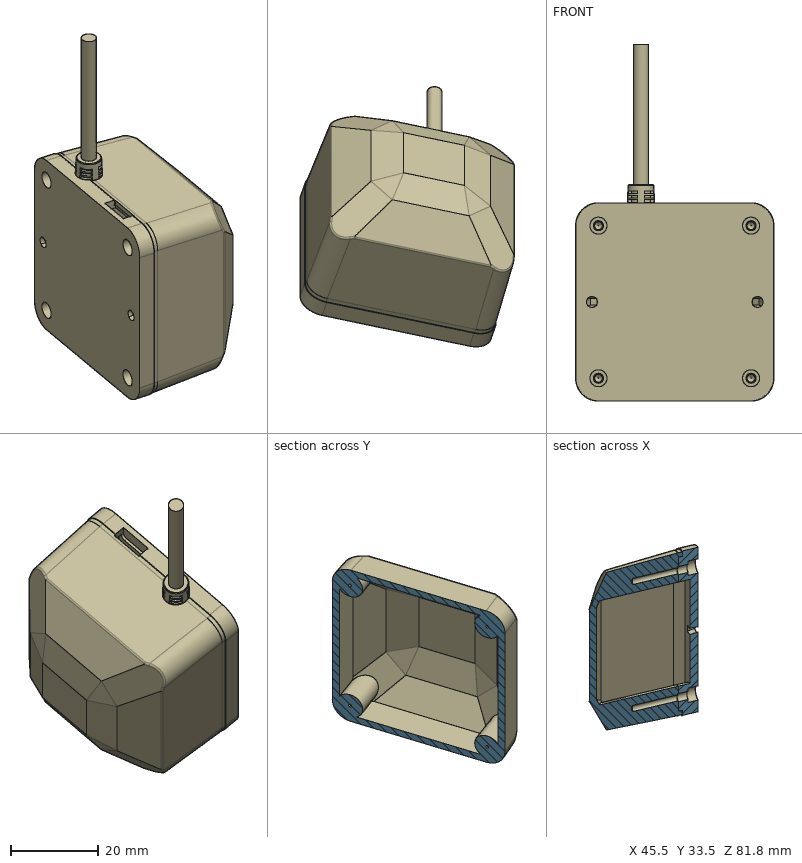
import cadquery as cq
import math

BASE_SIZE = 45.5
BASE_RADIUS = 5.25
BASE_DEPTH = 4.0
FLOOR = 2.1
WALL = 1.9
COVER_INSET = 0.25
COVER_RADIUS = 4.85
BAND_DEPTH = 1.0
RIM_INSET = 1.2
DRAFT = 2.0
TOTAL_DEPTH = 33.5

EAVES_DEPTH = 23.6
BEND_DEPTH = 30.65
FLAT_EAVES = 21.8
FLAT_BEND = 14.2
FLAT_TOP = 7.2
CORNER_EAVES = 27.0
CORNER_BEND = 16.5
CORNER_TOP = FLAT_TOP * math.sqrt(2)
EAVES_RADIUS = 0.6

SCREW_SPACING = 35.0
HEAD_DIAMETER = 3.9
HEAD_DEPTH = 2.5
CLEARANCE_DIAMETER = 2.3
PILOT_DIAMETER = 1.8
PILOT_DEPTH = 12.0
PILOT_POINT = 0.8
PILOT_TIP_RADIUS = 0.05
POST_DIAMETER = 6.5
SIDE_HOLE_X = 19.0
SIDE_HOLE_RADIUS = 1.25
WINDOW_SIZE = 1.5
WINDOW_X = 18.55

SLOT_X = 9.5
SLOT_WIDTH = 8.0
SLOT_BOTTOM = 1.4
SLOT_TOP = 4.3
SLOT_REACH = 3.5
SLOT_CORNER_RADIUS = 1.0

CABLE_X = -7.75
CABLE_Y = 5.35
CABLE_DIAMETER = 3.5
CABLE_END = 81.83 - BASE_SIZE / 2
GLAND_END = 26.95
GLAND_RADIUS = 3.15
GLAND_END_RADIUS = 2.95
GLAND_CHAMFER = 0.2
GROOVE_FIRST_TOP = 1.5
GROOVE_PITCH = 1.0
GROOVE_HEIGHT = 0.6
GROOVE_DEPTH = 0.6
GROOVE_COUNT = 3
RIB_WIDTH = 1.7

HALF = BASE_SIZE / 2
COVER_SIZE = BASE_SIZE - 2 * COVER_INSET
BAND_TOP = BASE_DEPTH + BAND_DEPTH
EAVES_BAND = 2.0
EAVES = cq.selectors.BoxSelector(
    (-BASE_SIZE, EAVES_DEPTH - EAVES_BAND, -BASE_SIZE),
    (BASE_SIZE, EAVES_DEPTH + EAVES_BAND, BASE_SIZE),
)


def at_depth(y):
    """A workplane facing +Y at the given depth."""
    return cq.Workplane(cq.Plane(origin=(0, y, 0), xDir=(1, 0, 0), normal=(0, 1, 0)))


def block(y, depth, size, radius, draft=0):
    """A square block with rounded corners, narrowing towards +Y if it has a draft."""
    solid = at_depth(y).rect(size, size).extrude(depth, taper=draft)
    return solid.edges("not(#Y)").fillet(radius)


def at_screws(plane):
    """The four screw positions on a workplane."""
    return plane.rect(SCREW_SPACING, SCREW_SPACING, forConstruction=True).vertices()


def gable(eaves, bend, top, drop, angle):
    """A long prism with the stepped roof profile on two opposite sides, turned about Y."""
    right = [(eaves, EAVES_DEPTH), (bend, BEND_DEPTH), (top, TOTAL_DEPTH)]
    slope = (eaves - bend) / (BEND_DEPTH - EAVES_DEPTH)
    right.insert(0, (eaves + slope * EAVES_DEPTH, 0))
    right = [(x, y - drop) for x, y in right]
    left = [(-x, y) for x, y in reversed(right)]
    prism = cq.Workplane("XY").polyline(right + left).close().extrude(BASE_SIZE, both=True)
    return prism.rotate((0, 0, 0), (0, 1, 0), angle)


def cover_form(inset):
    """The drafted and roofed part of the cover, moved inwards by the inset."""
    size = COVER_SIZE - 2 * inset
    radius = COVER_RADIUS - inset
    form = block(BAND_TOP, TOTAL_DEPTH - BAND_TOP, size, radius, DRAFT)
    for angle in (0, 90):
        form = form.intersect(gable(FLAT_EAVES, FLAT_BEND, FLAT_TOP, inset, angle))
    for angle in (45, 135):
        form = form.intersect(gable(CORNER_EAVES, CORNER_BEND, CORNER_TOP, inset, angle))
    return form


def slot_cutter():
    """The slot through the upper wall, rounded where it runs into the floor."""
    height = SLOT_TOP - SLOT_BOTTOM
    slot = cq.Workplane("XY").box(SLOT_WIDTH, height, SLOT_REACH, centered=(True, False, False))
    slot = slot.edges("|Y and <Z").fillet(SLOT_CORNER_RADIUS)
    return slot.translate((SLOT_X, SLOT_BOTTOM, HALF - SLOT_REACH))


def gland_form():
    """The plain gland: straight inside the wall and tapering outside it."""
    inner_end = HALF - COVER_INSET - WALL
    points = [
        (0, inner_end),
        (GLAND_RADIUS, inner_end),
        (GLAND_RADIUS, HALF),
        (GLAND_END_RADIUS, GLAND_END - GLAND_CHAMFER),
        (GLAND_END_RADIUS - GLAND_CHAMFER, GLAND_END),
        (0, GLAND_END),
    ]
    gland = cq.Workplane("XZ").polyline(points).close().revolve(360, (0, 0), (0, 1))
    return gland.translate((CABLE_X, CABLE_Y, 0))


def make_cable():
    """The gland, grooved between four ribs, and the cord that leaves it."""
    gland = gland_form()
    plan = cq.Workplane("XY").center(CABLE_X, CABLE_Y)
    for index in range(GROOVE_COUNT):
        bottom = GLAND_END - GROOVE_FIRST_TOP - GROOVE_HEIGHT - index * GROOVE_PITCH
        plane = plan.workplane(offset=bottom)
        groove = plane.circle(2 * GLAND_RADIUS).circle(GLAND_END_RADIUS - GROOVE_DEPTH)
        groove = groove.extrude(GROOVE_HEIGHT)
        groove = groove.cut(plane.rect(RIB_WIDTH, 4 * GLAND_RADIUS).extrude(GROOVE_HEIGHT))
        groove = groove.cut(plane.rect(4 * GLAND_RADIUS, RIB_WIDTH).extrude(GROOVE_HEIGHT))
        gland = gland.cut(groove)
    cord = plan.workplane(offset=GLAND_END).circle(CABLE_DIAMETER / 2).extrude(CABLE_END - GLAND_END)
    return gland.union(cord)


def side_hole(side):
    """A hole through the floor that changes from round outside to square inside."""
    mouth = at_depth(0).center(side * SIDE_HOLE_X, 0).circle(SIDE_HOLE_RADIUS)
    window = mouth.workplane(offset=FLOOR).center(side * (WINDOW_X - SIDE_HOLE_X), 0)
    return window.rect(WINDOW_SIZE, WINDOW_SIZE).loft(combine=True)


def rim_form():
    """The base's rim, which fits into the open end of the cover."""
    return block(BASE_DEPTH, BAND_DEPTH, COVER_SIZE - 2 * RIM_INSET, COVER_RADIUS - RIM_INSET)


def make_base():
    """The shallow tray with its rim, screw posts, side holes and openings."""
    base = block(0, BASE_DEPTH, BASE_SIZE, BASE_RADIUS)
    base = base.union(rim_form())
    hollow_size = COVER_SIZE - 2 * WALL
    base = base.cut(block(FLOOR, BAND_TOP - FLOOR, hollow_size, COVER_RADIUS - WALL))
    base = base.union(at_screws(at_depth(0)).circle(POST_DIAMETER / 2).extrude(BAND_TOP))
    base = base.cut(at_screws(at_depth(0)).circle(HEAD_DIAMETER / 2).extrude(HEAD_DEPTH))
    base = base.cut(at_screws(at_depth(0)).circle(CLEARANCE_DIAMETER / 2).extrude(BAND_TOP))
    for side in (-1, 1):
        base = base.cut(side_hole(side))
    return base.cut(slot_cutter()).cut(gland_form())


def pilot_holes():
    """The screw holes in the cover's posts, each ending in a drill point."""
    holes = at_screws(at_depth(BAND_TOP)).circle(PILOT_DIAMETER / 2).extrude(PILOT_DEPTH)
    return holes.faces(">Y").chamfer(PILOT_POINT, PILOT_DIAMETER / 2 - PILOT_TIP_RADIUS)


def make_cover():
    """The hollow, roofed cover with a screw post in each corner."""
    outside = cover_form(0).edges(EAVES).fillet(EAVES_RADIUS)
    outside = outside.union(block(BASE_DEPTH, BAND_DEPTH, COVER_SIZE, COVER_RADIUS))
    hollow = cover_form(WALL)
    posts = at_screws(at_depth(BAND_TOP)).circle(POST_DIAMETER / 2).extrude(TOTAL_DEPTH)
    cover = outside.cut(hollow.cut(posts))
    cover = cover.cut(rim_form())
    return cover.cut(pilot_holes()).cut(slot_cutter()).cut(gland_form())


base = make_base()
cover = make_cover()
cable = make_cable()
result = cq.Compound.makeCompound([body.solids().val() for body in (base, cover, cable)])